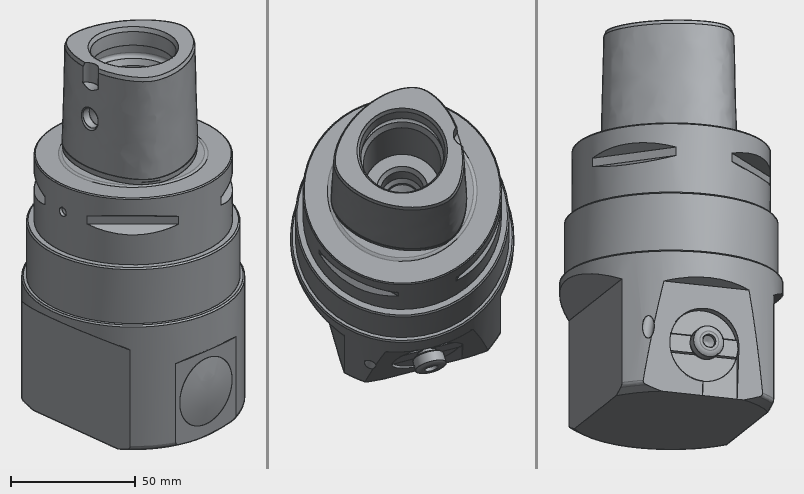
import cadquery as cq
import math

TOTAL_HEIGHT = 161.2
SHANK_LENGTH = 48.0
FLANGE_Z = TOTAL_HEIGHT - SHANK_LENGTH
MIDDLE_Z = 83.2
COLLAR_Z = 58.2

FLANGE_RADIUS = 40.0
MIDDLE_RADIUS = 43.0
COLLAR_RADIUS = 45.0
SHOULDER_CHAMFER = 0.6
FLANGE_CHAMFER = 0.5
FOOT_RADIUS = 40.6
FOOT_EDGE_ROUND = 2.0
BEVEL = math.radians(30)

SIDE_FLAT_Y = 32.5
SIDE_FLAT_TOP = 47.2
BACK_FLAT_X = 41.6
BACK_FLAT_TOP = 39.3
FRONT_FLAT_FOOT_X = -36.6
FRONT_FLAT_TOP_X = -41.1
FRONT_FLAT_TOP = 45.0
CUT_MARGIN = 8.0

GAUGE_RADIUS = 27.4
TAPER = 1 / 40
LOBE = 2.0
LOBE_COUNT = 3
NECK_HEIGHT = 2.7
NECK_RELIEF = 0.3
TIP_CHAMFER_HEIGHT = 1.6
TIP_CHAMFER = 0.6
CURVE_POINTS = 36
SEAT_RADIUS = 30.1
SEAT_TOP_RADIUS = 28.7
SEAT_HEIGHT = 0.3
LOBE_TRIM_HEIGHT = 1.5

MOUTH_RADIUS = 18.2
CLAMP_RADIUS = 17.2
CLAMP_END_RADIUS = 16.6
MOUTH_DEPTH = 1.8
GROOVE_RADIUS = 19.0
GROOVE_START = 7.5
GROOVE_END = 12.1
GROOVE_RUNOUT = 13.9
INNER_RADIUS = 15.6
INNER_START = 16.3
INNER_FLOOR = SHANK_LENGTH
PILOT_MOUTH_RADIUS = 10.5
PILOT_RADIUS = 8.9
PILOT_DEPTH = 9.7
CENTRE_RADIUS = 7.3
CENTRE_DEPTH = 12.9
DRILL_TIP = math.radians(30)

KEY_RADIUS = 5.0
KEY_Y = -26.6
KEY_DEPTH = 8.9
DIMPLE_RADIUS = 4.4
DIMPLE_Z = 137.8
DIMPLE_BOTTOM_Y = -20.6
DIMPLE_MOUTH_Y = -24.7
DIMPLE_MOUTH_CHAMFER = 0.5
GRIP_Z = 101.0
GRIP_FLOOR_HEIGHT = 3.5
GRIP_FLOOR_DISTANCE = 35.5
GRIP_ANGLES = (45, 135, 225, 315)
MARK_RADIUS = 2.0
MARK_DEPTH = 1.6

COOLANT_RADIUS = 2.4
COOLANT_ANGLE = math.radians(148)
COOLANT_EXIT_Z = 26.0
COOLANT_ENTRY_OFFSET = 2.3

SLIDE_RADIUS = 14.8
SLIDE_Z = 20.8
SLIDE_FACE_X = FRONT_FLAT_FOOT_X
SLIDE_CROWN = 1.6
RIB_HEIGHT = 0.8
RIB_HALF_WIDTH = 3.5
RIB_SIDE_SLOPE = 0.5
SCREW_TIP_X = -44.5
HEAD_RADIUS = 6.5
HEAD_FACE_RADIUS = 4.0
HEAD_CROWN = 0.8
HEAD_BACK_X = -39.0
HEAD_BACK_CHAMFER = 0.5
SOCKET_RADIUS = 2.7
SOCKET_DEPTH = 1.6
STUD_RADIUS = 4.0
STUD_LENGTH = 12.9


def drill(start, direction, radius, depth):
    """Drill-shaped cutter: a cylinder with a cone at its far end."""
    axis = cq.Vector(*direction).normalized()
    begin = cq.Vector(*start)
    shaft = cq.Solid.makeCylinder(radius, depth, begin, axis)
    tip = cq.Solid.makeCone(radius, 0, radius * math.tan(DRILL_TIP), begin + axis * depth, axis)
    return cq.Workplane(shaft.fuse(tip))


def across(plane, points):
    """Prism through the whole housing, centred on the given plane."""
    return cq.Workplane(plane).polyline(points).close().extrude(2 * COLLAR_RADIUS, both=True)



def polygon_wire(mean_radius, z):
    """Three-lobed curve of constant width with one lobe on +Y."""
    points = []
    for index in range(CURVE_POINTS):
        angle = 2 * math.pi * index / CURVE_POINTS - math.pi / 2
        phase = LOBE_COUNT * (angle - math.pi / 2)
        support = mean_radius + LOBE * math.cos(phase)
        slope = -LOBE_COUNT * LOBE * math.sin(phase)
        x = support * math.cos(angle) - slope * math.sin(angle)
        y = support * math.sin(angle) + slope * math.cos(angle)
        points.append(cq.Vector(x, y, z))
    return cq.Wire.assembleEdges([cq.Edge.makeSpline(points, periodic=True)])


def polygon_section(bottom_radius, bottom_z, top_radius, top_z):
    wires = [polygon_wire(bottom_radius, bottom_z), polygon_wire(top_radius, top_z)]
    return cq.Workplane(cq.Solid.makeLoft(wires, True))


def make_shank():
    def taper_radius(z):
        return GAUGE_RADIUS - TAPER * (z - FLANGE_Z)

    taper_start = FLANGE_Z + NECK_HEIGHT
    taper_end = TOTAL_HEIGHT - TIP_CHAMFER_HEIGHT
    end_radius = taper_radius(taper_end)
    neck_radius = GAUGE_RADIUS - NECK_RELIEF
    neck = polygon_section(neck_radius, FLANGE_Z, neck_radius, taper_start)
    taper = polygon_section(taper_radius(taper_start), taper_start, end_radius, taper_end)
    tip = polygon_section(end_radius, taper_end, end_radius - TIP_CHAMFER, TOTAL_HEIGHT)
    return neck.union(taper).union(tip)


def make_drum():
    chamfer_height = (COLLAR_RADIUS - FOOT_RADIUS) * math.tan(BEVEL)
    tangent_length = FOOT_EDGE_ROUND * math.tan((math.pi / 2 - BEVEL) / 2)
    round_start = (COLLAR_RADIUS - tangent_length * math.cos(BEVEL),
                   chamfer_height - tangent_length * math.sin(BEVEL))
    round_end = (COLLAR_RADIUS, chamfer_height + tangent_length)
    return (
        cq.Workplane("XZ")
        .lineTo(FOOT_RADIUS, 0)
        .lineTo(*round_start)
        .tangentArcPoint(round_end, relative=False)
        .lineTo(COLLAR_RADIUS, COLLAR_Z - SHOULDER_CHAMFER)
        .lineTo(COLLAR_RADIUS - SHOULDER_CHAMFER, COLLAR_Z)
        .lineTo(MIDDLE_RADIUS, COLLAR_Z)
        .lineTo(MIDDLE_RADIUS, MIDDLE_Z - SHOULDER_CHAMFER)
        .lineTo(MIDDLE_RADIUS - SHOULDER_CHAMFER, MIDDLE_Z)
        .lineTo(FLANGE_RADIUS, MIDDLE_Z)
        .lineTo(FLANGE_RADIUS, FLANGE_Z - FLANGE_CHAMFER)
        .lineTo(FLANGE_RADIUS - FLANGE_CHAMFER, FLANGE_Z)
        .lineTo(0, FLANGE_Z)
        .close()
        .revolve(360, (0, 0, 0), (0, 1, 0))
    )


def make_seat_ring():
    """Low disc under the shank, its rim rounded down to the flange face."""
    return (
        cq.Workplane("XZ", origin=(0, 0, FLANGE_Z))
        .lineTo(0, SEAT_HEIGHT)
        .lineTo(SEAT_TOP_RADIUS, SEAT_HEIGHT)
        .tangentArcPoint((SEAT_RADIUS, 0), relative=False)
        .close()
        .revolve(360, (0, 0, 0), (0, 1, 0))
    )


def make_lobe_trim():
    """Ring that trims the lobes of the neck flush with the flat top of the seat."""
    trim = cq.Workplane("XY", origin=(0, 0, FLANGE_Z)).circle(FLANGE_RADIUS)
    return trim.circle(SEAT_TOP_RADIUS).extrude(LOBE_TRIM_HEIGHT)


def relief(plane, foot, top, top_z):
    """Cutter for a flat that runs from foot to top, then out through the collar."""
    side = math.copysign(1, foot)
    outside = side * (COLLAR_RADIUS + CUT_MARGIN)
    runout_z = top_z + abs(outside - top) * math.tan(BEVEL)
    below = foot + (foot - top) / top_z * CUT_MARGIN
    points = [(below, -CUT_MARGIN), (top, top_z), (outside, runout_z), (outside, -CUT_MARGIN)]
    return across(plane, points)


def make_clamp_bore():
    def height(depth):
        return TOTAL_HEIGHT - depth

    pilot_start = INNER_FLOOR + PILOT_MOUTH_RADIUS - PILOT_RADIUS
    pilot_end = INNER_FLOOR + PILOT_DEPTH
    centre_start = pilot_end + PILOT_RADIUS - CENTRE_RADIUS
    centre_end = INNER_FLOOR + CENTRE_DEPTH
    return (
        cq.Workplane("XZ")
        .moveTo(0, height(0))
        .lineTo(MOUTH_RADIUS, height(0))
        .lineTo(CLAMP_RADIUS, height(MOUTH_DEPTH))
        .lineTo(CLAMP_END_RADIUS, height(GROOVE_START))
        .lineTo(GROOVE_RADIUS, height(GROOVE_START))
        .lineTo(GROOVE_RADIUS, height(GROOVE_END))
        .tangentArcPoint((CLAMP_RADIUS, height(GROOVE_RUNOUT)), relative=False)
        .lineTo(INNER_RADIUS, height(INNER_START))
        .lineTo(INNER_RADIUS, height(INNER_FLOOR))
        .lineTo(PILOT_MOUTH_RADIUS, height(INNER_FLOOR))
        .lineTo(PILOT_RADIUS, height(pilot_start))
        .lineTo(PILOT_RADIUS, height(pilot_end))
        .lineTo(CENTRE_RADIUS, height(centre_start))
        .lineTo(CENTRE_RADIUS, height(centre_end))
        .lineTo(0, height(centre_end + CENTRE_RADIUS * math.tan(DRILL_TIP)))
        .close()
        .revolve(360, (0, 0, 0), (0, 1, 0))
    )


def make_dimple():
    """Blind drilling in the side of the shank with a chamfered mouth."""
    mouth = cq.Solid.makeCone(
        DIMPLE_RADIUS + 2 * DIMPLE_MOUTH_CHAMFER,
        DIMPLE_RADIUS,
        2 * DIMPLE_MOUTH_CHAMFER,
        cq.Vector(0, DIMPLE_MOUTH_Y - DIMPLE_MOUTH_CHAMFER, DIMPLE_Z),
        cq.Vector(0, 1, 0),
    )
    depth = DIMPLE_BOTTOM_Y - DIMPLE_MOUTH_Y
    hole = drill((0, DIMPLE_MOUTH_Y, DIMPLE_Z), (0, 1, 0), DIMPLE_RADIUS, depth)
    return hole.union(cq.Workplane(mouth))


def make_gripper_groove(angle):
    """Straight groove with sloping flanks across the flange rim."""
    reach = COLLAR_RADIUS - GRIP_FLOOR_DISTANCE
    floor_half = GRIP_FLOOR_HEIGHT / 2
    mouth_half = floor_half + reach * math.tan(BEVEL)
    points = [
        (GRIP_FLOOR_DISTANCE, GRIP_Z - floor_half),
        (COLLAR_RADIUS, GRIP_Z - mouth_half),
        (COLLAR_RADIUS, GRIP_Z + mouth_half),
        (GRIP_FLOOR_DISTANCE, GRIP_Z + floor_half),
    ]
    return across("XZ", points).rotate((0, 0, 0), (0, 0, 1), angle)


def make_coolant_drilling():
    """Sloping passage from the centre bore to the lower housing wall."""
    def on_ray(distance, z):
        return cq.Vector(distance * math.cos(COOLANT_ANGLE), distance * math.sin(COOLANT_ANGLE), z)

    bore_end = FLANGE_Z - CENTRE_DEPTH - CENTRE_RADIUS * math.tan(DRILL_TIP)
    entry = on_ray(COOLANT_ENTRY_OFFSET, bore_end + COOLANT_ENTRY_OFFSET * math.tan(DRILL_TIP))
    exit_point = on_ray(COLLAR_RADIUS, COOLANT_EXIT_Z)
    path = exit_point - entry
    axis = path.normalized()
    length = path.Length + CUT_MARGIN + COOLANT_RADIUS
    passage = cq.Solid.makeCylinder(COOLANT_RADIUS, length, entry - axis * COOLANT_RADIUS, axis)
    return cq.Workplane(passage)


def make_slide_bore():
    return (
        cq.Workplane("YZ", origin=(-COLLAR_RADIUS, 0, 0))
        .center(0, SLIDE_Z)
        .circle(SLIDE_RADIUS)
        .extrude(2 * COLLAR_RADIUS)
    )


def make_foot_pocket():
    """Shallow upright face below one half of the slide."""
    corner = (SLIDE_FACE_X - CUT_MARGIN, -SLIDE_RADIUS, 0)
    return cq.Workplane("XY", origin=corner).box(CUT_MARGIN, SLIDE_RADIUS, SLIDE_Z, centered=False)


def make_housing():
    shank = make_shank().cut(make_lobe_trim())
    body = make_drum().union(shank).union(make_seat_ring())
    for side in (-1, 1):
        body = body.cut(relief("YZ", side * SIDE_FLAT_Y, side * SIDE_FLAT_Y, SIDE_FLAT_TOP))
    body = body.cut(relief("XZ", BACK_FLAT_X, BACK_FLAT_X, BACK_FLAT_TOP))
    body = body.cut(relief("XZ", FRONT_FLAT_FOOT_X, FRONT_FLAT_TOP_X, FRONT_FLAT_TOP))
    body = body.cut(make_clamp_bore())
    body = body.cut(drill((0, KEY_Y, TOTAL_HEIGHT), (0, 0, -1), KEY_RADIUS, KEY_DEPTH))
    body = body.cut(make_dimple())
    for angle in GRIP_ANGLES:
        body = body.cut(make_gripper_groove(angle))
    body = body.cut(drill((0, -FLANGE_RADIUS, GRIP_Z), (0, 1, 0), MARK_RADIUS, MARK_DEPTH))
    body = body.cut(make_coolant_drilling())
    return body.cut(make_slide_bore()).cut(make_foot_pocket())



def make_screw():
    """Screw on the slide axis, its profile drawn as (x, radius) and turned about X."""
    blank = (
        cq.Workplane("XZ", origin=(0, 0, SLIDE_Z))
        .moveTo(SCREW_TIP_X, 0)
        .lineTo(SCREW_TIP_X, HEAD_FACE_RADIUS)
        .tangentArcPoint((SCREW_TIP_X + HEAD_CROWN, HEAD_RADIUS), relative=False)
        .lineTo(HEAD_BACK_X - HEAD_BACK_CHAMFER, HEAD_RADIUS)
        .lineTo(HEAD_BACK_X, HEAD_RADIUS - HEAD_BACK_CHAMFER)
        .lineTo(HEAD_BACK_X, STUD_RADIUS)
        .lineTo(SLIDE_FACE_X + STUD_LENGTH, STUD_RADIUS)
        .lineTo(SLIDE_FACE_X + STUD_LENGTH, 0)
        .close()
        .revolve(360, (0, 0, 0), (1, 0, 0))
    )
    return blank.cut(drill((SCREW_TIP_X, 0, SLIDE_Z), (1, 0, 0), SOCKET_RADIUS, SOCKET_DEPTH))


def make_slide(screw):
    """Cylindrical slide with a rib on its front face and a domed back end."""
    rib_x = SLIDE_FACE_X - RIB_HEIGHT
    dome_tip_x = BACK_FLAT_X + SLIDE_CROWN
    dome_radius = (SLIDE_RADIUS**2 + SLIDE_CROWN**2) / (2 * SLIDE_CROWN)
    half_radius = SLIDE_RADIUS / 2
    dome_centre_x = dome_tip_x - dome_radius
    dome_mid_x = dome_centre_x + math.sqrt(dome_radius**2 - half_radius**2)
    bar = (
        cq.Workplane("XZ", origin=(0, 0, SLIDE_Z))
        .moveTo(rib_x, 0)
        .lineTo(rib_x, SLIDE_RADIUS)
        .lineTo(BACK_FLAT_X, SLIDE_RADIUS)
        .threePointArc((dome_mid_x, half_radius), (dome_tip_x, 0))
        .close()
        .revolve(360, (0, 0, 0), (1, 0, 0))
    )
    for side in (-1, 1):
        rib_edge = SLIDE_Z + side * RIB_HALF_WIDTH
        rib_root = rib_edge + side * RIB_SIDE_SLOPE
        far = SLIDE_Z + side * (SLIDE_RADIUS + CUT_MARGIN)
        points = [(rib_x, rib_edge), (SLIDE_FACE_X, rib_root), (SLIDE_FACE_X, far), (rib_x, far)]
        bar = bar.cut(across("XZ", points))
    return bar.cut(screw)


housing = make_housing()
screw = make_screw()
slide = make_slide(screw)

result = cq.Compound.makeCompound([housing.val(), slide.val(), screw.val()])